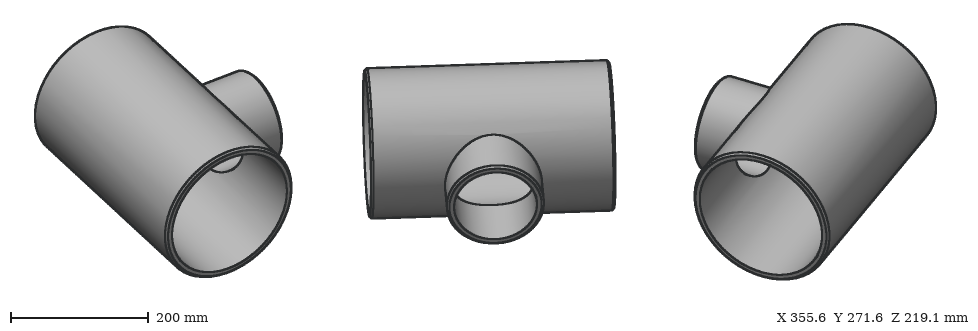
import cadquery as cq

run_length = 355.6
run_diameter = 219.08
branch_diameter = 141.3
branch_reach = 162.05
wall = 10.31
bevel = 3.4

run_radius = run_diameter / 2
branch_radius = branch_diameter / 2
half_run = run_length / 2


def run_body():
    """Solid run along X, centred on the origin, with a weld bevel at each end."""
    land_radius = run_radius - bevel
    shoulder = half_run - bevel
    profile = [
        (-half_run, 0),
        (-half_run, land_radius),
        (-shoulder, run_radius),
        (shoulder, run_radius),
        (half_run, land_radius),
        (half_run, 0),
    ]
    return cq.Workplane("XY").polyline(profile).close().revolve(360, (0, 0, 0), (1, 0, 0))


def branch_body():
    """Solid branch from the run axis toward +Y, with a weld bevel at its end."""
    profile = [
        (0, 0),
        (branch_radius, 0),
        (branch_radius, branch_reach - bevel),
        (branch_radius - bevel, branch_reach),
        (0, branch_reach),
    ]
    return cq.Workplane("XY").polyline(profile).close().revolve(360, (0, 0, 0), (0, 1, 0))


def run_bore():
    """Straight bore through the full length of the run."""
    return cq.Workplane("YZ").circle(run_radius - wall).extrude(half_run, both=True)


def branch_bore():
    """Straight bore from the branch end into the run bore."""
    return cq.Workplane("XZ").circle(branch_radius - wall).extrude(-branch_reach)


result = run_body().union(branch_body()).cut(run_bore()).cut(branch_bore())